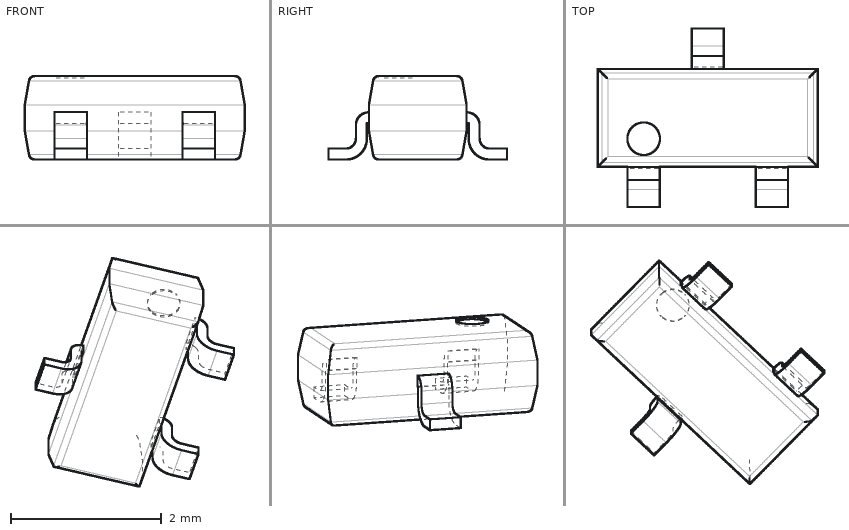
import cadquery as cq
import math

body_length = 2.92
body_width = 1.3
body_height = 1.11
lead_span = 2.37

band_height = 0.345
draft_angle = 10.0
edge_radius = 0.082

marker_diameter = 0.432
marker_y = -0.277
marker_depth = 0.03

lead_width = 0.43
lead_thickness = 0.15
lead_pair_x = 0.85
shoulder_radius = 0.172
ankle_radius = 0.128

half_width = body_width / 2
mid_z = body_height / 2
draft_height = (body_height - band_height) / 2


def make_housing():
    """Drafted block with rounded top and bottom edges and a round marker recess."""
    band_bottom = draft_height
    band_top = draft_height + band_height
    middle = (
        cq.Workplane("XY", origin=(0, 0, band_bottom))
        .rect(body_length, body_width)
        .extrude(band_height)
    )
    upper = (
        cq.Workplane("XY", origin=(0, 0, band_top))
        .rect(body_length, body_width)
        .extrude(draft_height, taper=draft_angle)
        .faces(">Z")
        .edges()
        .fillet(edge_radius)
    )
    lower = upper.mirror("XY", (0, 0, mid_z))
    marker = (
        cq.Workplane("XY", origin=(-lead_pair_x, marker_y, body_height - marker_depth))
        .circle(marker_diameter / 2)
        .extrude(marker_depth)
    )
    return middle.union(upper).union(lower).cut(marker)


def make_lead(center_x, side):
    """S-bent strip against the housing; side is -1 for the front and +1 for the back."""
    lead_top = mid_z + lead_thickness / 2
    lead_under = lead_top - lead_thickness
    leg_outer = half_width + shoulder_radius
    leg_inner = leg_outer - lead_thickness
    ankle_outer_radius = ankle_radius + lead_thickness
    tip = lead_span / 2
    bend_end = leg_outer + ankle_radius
    bend_center_z = ankle_outer_radius
    shoulder_z = lead_top - shoulder_radius
    diagonal = math.sqrt(0.5)

    def point(y, z):
        return (side * y, z)

    def arc_middle(center_y, center_z, radius, y_sign, z_sign):
        return point(
            center_y + y_sign * radius * diagonal,
            center_z + z_sign * radius * diagonal,
        )

    profile = (
        cq.Workplane("YZ", origin=(center_x - lead_width / 2, 0, 0))
        .moveTo(*point(half_width, lead_top))
        .threePointArc(
            arc_middle(half_width, shoulder_z, shoulder_radius, 1, 1),
            point(leg_outer, shoulder_z),
        )
        .lineTo(*point(leg_outer, bend_center_z))
        .threePointArc(
            arc_middle(bend_end, bend_center_z, ankle_radius, -1, -1),
            point(bend_end, lead_thickness),
        )
        .lineTo(*point(tip, lead_thickness))
        .lineTo(*point(tip, 0))
        .lineTo(*point(bend_end, 0))
        .threePointArc(
            arc_middle(bend_end, bend_center_z, ankle_outer_radius, -1, -1),
            point(leg_inner, bend_center_z),
        )
        .lineTo(*point(leg_inner, lead_under))
        .lineTo(*point(half_width, lead_under))
        .close()
    )
    return profile.extrude(lead_width)


housing = make_housing()

lead_places = [(-lead_pair_x, -1), (lead_pair_x, -1), (0, 1)]
leads = [make_lead(center_x, side) for center_x, side in lead_places]

result = cq.Compound.makeCompound([housing.val(), *[lead.val() for lead in leads]])